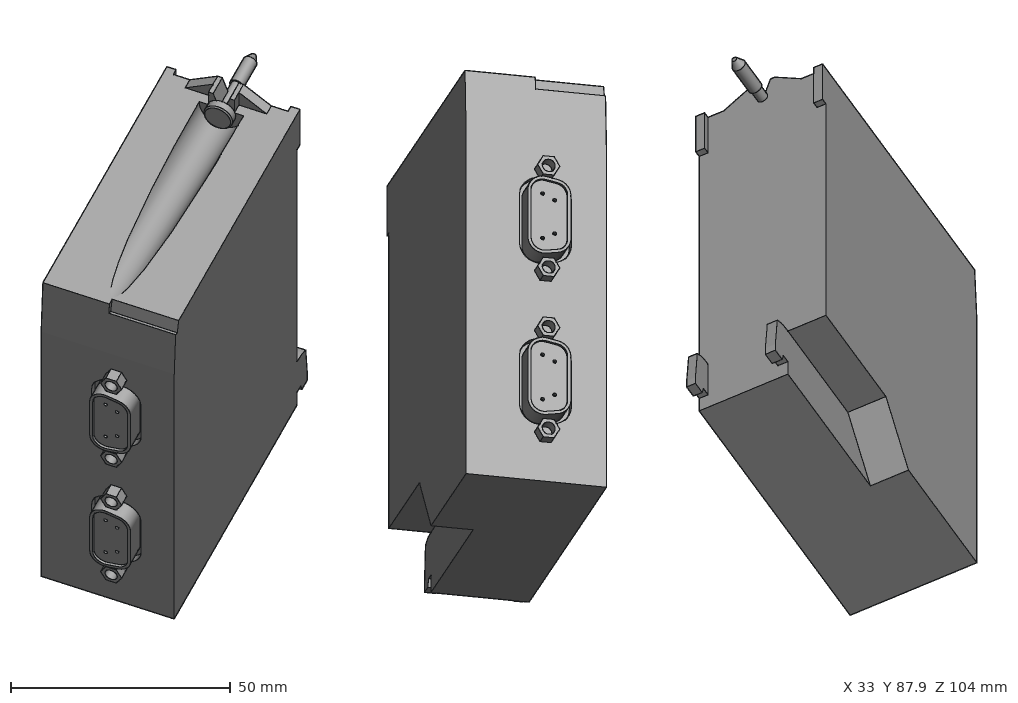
import cadquery as cq
import math

WIDTH = 33.0
DEPTH = 71.0
HOUSING_HEIGHT = 99.7
TOTAL_HEIGHT = 104.0
HALF_WIDTH = WIDTH / 2

CAP_HEIGHT = 15.8
CAP_SETBACK = 1.0
GRIP_HEIGHT = 3.0
GRIP_TOP_SETBACK = 2.6
GRIP_BOTTOM_SETBACK = 1.75
GRIP_UNDERCUT = 0.3

LIP_WIDTH = 2.3
LIP_DEPTH = 1.6
LIP_HEIGHT = 12.2

RELIEF_HEIGHT = 14.8
RELIEF_TOP_FRONT = 42.8
RELIEF_BOTTOM_FRONT = 32.2
HOOK_LEFT = -6.6
HOOK_WIDTHS = (2.6, LIP_WIDTH)
HOOK_STARTS = (HOOK_LEFT, HALF_WIDTH - LIP_WIDTH)

CHANNEL_RADIUS = 5.5
CHANNEL_FRONT = 3.2
CHANNEL_REAR = 65.7
CHANNEL_AXIS_CROSSING = 62.0

POST_HALF_WIDTH = 3.2
CLIP_TOP_HALF_GAP = 2.05
CLIP_BOTTOM_HALF_GAP = 0.6
WING_HALF_SPAN = 10.1
WING_THICKNESS = 2.7

SCREW_DROP = 1.0
SCREW_Z = HOUSING_HEIGHT - SCREW_DROP
HEAD_RADIUS = 3.55
HEAD_LENGTH = 2.2
HEAD_CHAMFER = 0.35
NECK_RADIUS = 1.35
SHANK_RADIUS = 1.7
TIP_RADIUS = 0.65
SHANK_START = 74.4
SHANK_END = 82.2
SCREW_END = 84.3

SHELL_PROJECTION = 3.6
CONNECTOR_X = 2.15
LOWER_CONNECTOR_Z = 24.4
CONNECTOR_COUNT = 2
CONNECTOR_PITCH = 39.7
SHELL_HALF_WIDTH = 5.05
SHELL_LONG_HALF_HEIGHT = 10.2
SHELL_SLOPE = 10.0
SHELL_CORNER_RADIUS = 3.7
SHELL_WALL = 0.75
SOCKET_DEPTH = 0.7
OPENING_GAP = 1.05
OPENING_DEPTH = 2.0

CONTACT_ROWS = ((-1.42, 5.48), (1.42, 4.11))
CONTACT_DIAMETER = 0.8
CONTACT_DEPTH = 1.0

NUT_OFFSET = 12.5
NUT_ACROSS_FLATS = 4.5
NUT_HEIGHT = 3.0
NUT_HOLE_DIAMETER = 3.0


def box(x_range, y_range, z_range):
    """Axis-aligned block between the given limits."""
    size = [high - low for low, high in (x_range, y_range, z_range)]
    corner = (x_range[0], y_range[0], z_range[0])
    return cq.Workplane("XY").box(*size, centered=False).translate(corner)


def extrude_x(profile, start, length):
    """Extrude a closed list of (Y, Z) points along +X."""
    return cq.Workplane("YZ", origin=(start, 0, 0)).polyline(profile).close().extrude(length)


def y_cylinder(radius, start, end):
    """Cylinder on the screw axis between two Y positions."""
    plane = cq.Workplane("XZ", origin=(0, end, SCREW_Z))
    return plane.circle(radius).extrude(end - start)


def front_plane(x, y, z):
    """Sketch plane whose extrusions project out of the front, toward -Y."""
    return cq.Workplane("XZ", origin=(x, y, z))


def make_housing():
    profile = [
        (0, 0),
        (DEPTH, 0),
        (DEPTH, HOUSING_HEIGHT),
        (CAP_SETBACK, HOUSING_HEIGHT),
        (0, HOUSING_HEIGHT - CAP_HEIGHT),
    ]
    housing = extrude_x(profile, -HALF_WIDTH, WIDTH)
    for start in (-HALF_WIDTH, HALF_WIDTH - LIP_WIDTH):
        lip = box(
            (start, start + LIP_WIDTH),
            (DEPTH, DEPTH + LIP_DEPTH),
            (HOUSING_HEIGHT - LIP_HEIGHT, HOUSING_HEIGHT),
        )
        housing = housing.union(lip)
    return housing


def make_grip_cutter():
    """V-bottomed step along the right half of the cap's top front edge."""
    lip_z = HOUSING_HEIGHT - GRIP_HEIGHT
    lip_y = CAP_SETBACK * (CAP_HEIGHT - GRIP_HEIGHT) / CAP_HEIGHT
    profile = [
        (0, HOUSING_HEIGHT),
        (0, lip_z),
        (lip_y, lip_z),
        (GRIP_BOTTOM_SETBACK, lip_z - GRIP_UNDERCUT),
        (GRIP_TOP_SETBACK, HOUSING_HEIGHT),
    ]
    return extrude_x(profile, 0, HALF_WIDTH)


def make_relief_cutter():
    """Clearance on the lower left, leaving the hook block standing."""
    profile = [
        (DEPTH, 0),
        (DEPTH, RELIEF_HEIGHT),
        (RELIEF_TOP_FRONT, RELIEF_HEIGHT),
        (RELIEF_BOTTOM_FRONT, 0),
    ]
    return extrude_x(profile, -HALF_WIDTH, HOOK_LEFT + HALF_WIDTH)


def make_hook(start, width):
    """Plate behind the housing with a downward-pointing rail hook."""
    top_middle = (73.9, 14.5)
    top_rear = (76.0, 13.6)
    toe_rear = (76.9, 4.4)
    toe_bottom = 2.4
    toe_front = 73.7
    notch_rear = 73.1
    notch_top = 4.3
    sketch = cq.Workplane("YZ", origin=(start, 0, 0)).moveTo(DEPTH, RELIEF_HEIGHT)
    sketch = sketch.threePointArc(top_middle, top_rear).lineTo(*toe_rear)
    sketch = sketch.lineTo(toe_rear[0], toe_bottom).lineTo(toe_front, toe_bottom)
    sketch = sketch.lineTo(notch_rear, notch_top).lineTo(DEPTH, notch_top).close()
    return sketch.extrude(width)


def make_channel_cutter():
    tilt = math.asin(CHANNEL_RADIUS / (CHANNEL_AXIS_CROSSING - CHANNEL_FRONT))
    cylinder = cq.Workplane("XZ").circle(CHANNEL_RADIUS).extrude(DEPTH, both=True)
    cylinder = cylinder.rotate((0, 0, 0), (1, 0, 0), -math.degrees(tilt))
    cylinder = cylinder.translate((0, CHANNEL_AXIS_CROSSING, HOUSING_HEIGHT))
    limit = box((-HALF_WIDTH, HALF_WIDTH), (0, CHANNEL_REAR), (0, TOTAL_HEIGHT))
    return cylinder.intersect(limit)


def make_clip():
    wing_profile = [
        (-WING_HALF_SPAN, HOUSING_HEIGHT),
        (-POST_HALF_WIDTH, TOTAL_HEIGHT),
        (POST_HALF_WIDTH, TOTAL_HEIGHT),
        (WING_HALF_SPAN, HOUSING_HEIGHT),
    ]
    gap_profile = [
        (-CLIP_TOP_HALF_GAP, TOTAL_HEIGHT),
        (-CLIP_BOTTOM_HALF_GAP, HOUSING_HEIGHT),
        (CLIP_BOTTOM_HALF_GAP, HOUSING_HEIGHT),
        (CLIP_TOP_HALF_GAP, TOTAL_HEIGHT),
    ]
    rear_plane = cq.Workplane("XZ", origin=(0, DEPTH, 0))
    wings = rear_plane.polyline(wing_profile).close().extrude(WING_THICKNESS)
    posts = box(
        (-POST_HALF_WIDTH, POST_HALF_WIDTH),
        (CHANNEL_REAR, DEPTH),
        (HOUSING_HEIGHT, TOTAL_HEIGHT),
    )
    gap = rear_plane.polyline(gap_profile).close().extrude(DEPTH - CHANNEL_REAR)
    return wings.union(posts).cut(gap)


def make_screw():
    head = y_cylinder(HEAD_RADIUS, CHANNEL_REAR - HEAD_LENGTH, CHANNEL_REAR)
    head = head.faces("<Y").chamfer(HEAD_CHAMFER)
    neck = y_cylinder(NECK_RADIUS, CHANNEL_REAR, SHANK_START)
    shank = y_cylinder(SHANK_RADIUS, SHANK_START, SHANK_END)
    tip = cq.Solid.makeCone(
        SHANK_RADIUS,
        TIP_RADIUS,
        SCREW_END - SHANK_END,
        cq.Vector(0, SHANK_END, SCREW_Z),
        cq.Vector(0, 1, 0),
    )
    return head.union(neck).union(shank).union(cq.Workplane(tip))


def d_prism(plane, offset, length):
    """Rounded D-shape, grown or shrunk by offset, extruded along the plane normal."""
    half_width = SHELL_HALF_WIDTH + offset
    slope = math.radians(SHELL_SLOPE)
    middle_half_height = SHELL_LONG_HALF_HEIGHT - SHELL_HALF_WIDTH * math.tan(slope)
    middle_half_height += offset / math.cos(slope)
    rise = half_width * math.tan(slope)
    long_half = middle_half_height + rise
    short_half = middle_half_height - rise
    corners = [
        (-half_width, -long_half),
        (half_width, -short_half),
        (half_width, short_half),
        (-half_width, long_half),
    ]
    prism = plane.polyline(corners).close().extrude(length)
    return prism.edges("|Y").fillet(SHELL_CORNER_RADIUS + offset)


def add_connector(body, z):
    opening_floor = front_plane(CONNECTOR_X, OPENING_DEPTH, z)
    body = body.cut(d_prism(opening_floor, OPENING_GAP, OPENING_DEPTH))
    shell = d_prism(opening_floor, 0, OPENING_DEPTH + SHELL_PROJECTION)
    socket_floor = front_plane(CONNECTOR_X, SOCKET_DEPTH - SHELL_PROJECTION, z)
    shell = shell.cut(d_prism(socket_floor, -SHELL_WALL, SOCKET_DEPTH))

    contacts = [(x, side * half) for x, half in CONTACT_ROWS for side in (-1, 1)]
    holes = socket_floor.pushPoints(contacts).circle(CONTACT_DIAMETER / 2).extrude(-CONTACT_DEPTH)
    body = body.union(shell.cut(holes))

    nut_diameter = NUT_ACROSS_FLATS / math.cos(math.pi / 6)
    for side in (-1, 1):
        seat = front_plane(CONNECTOR_X, 0, z + side * NUT_OFFSET)
        nut = seat.polygon(6, nut_diameter).circle(NUT_HOLE_DIAMETER / 2).extrude(NUT_HEIGHT)
        body = body.union(nut)
    return body


def make_part():
    body = make_housing()
    body = body.cut(make_grip_cutter())
    body = body.cut(make_relief_cutter())
    for start, width in zip(HOOK_STARTS, HOOK_WIDTHS):
        body = body.union(make_hook(start, width))
    body = body.cut(make_channel_cutter())
    body = body.union(make_clip())
    body = body.union(make_screw())
    for index in range(CONNECTOR_COUNT):
        body = add_connector(body, LOWER_CONNECTOR_Z + index * CONNECTOR_PITCH)
    return body


result = make_part()